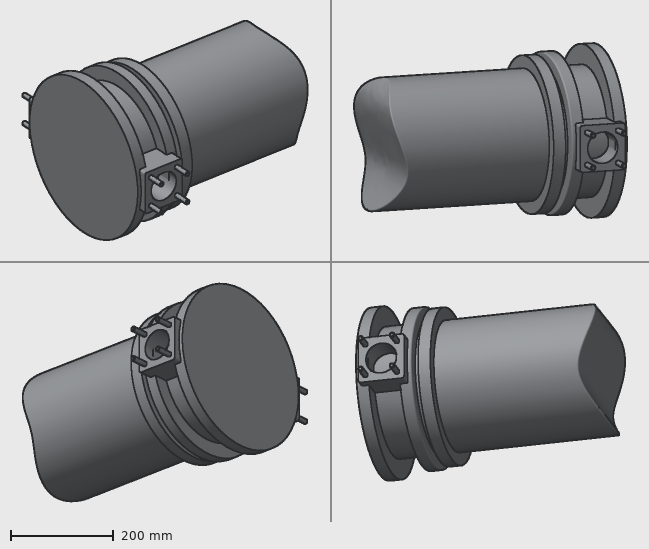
import cadquery as cq


tube_radius = 130.0
cover_radius = 170.0
collar_radius = 160.0
neck_radius = 133.5
ring_radius = 155.0
flange_thickness = 25.0
collar_start = 85.0
collar_end = collar_start + flange_thickness
ring_start = 121.8
ring_end = ring_start + flange_thickness
collar_fillet = 3.5

wave_top_z, wave_top = 143.2, 413.0
wave_crest_z, wave_crest = 72.5, 464.5
wave_middle_z, wave_middle = 2.5, 447.5
wave_valley_z, wave_valley = -47.5, 438.0
wave_flare_z, wave_flare = -89.5, 452.5
wave_tip_z, wave_tip = -143.2, 491.5
rim_fillet = 3.0

port_span = 364.0
port_size = 92.5
port_corner_radius = 5.0
port_bore_diameter = 62.0
port_y = (flange_thickness + collar_start) / 2

stud_diameter = 10.0
stud_pitch = 64.0
stud_chamfer = 1.5
stud_tip_span = 435.0
stud_length = (stud_tip_span - port_span) / 2


def disc(radius, start, end):
    """Solid disc about the Y axis between two Y stations."""
    return (
        cq.Workplane("YZ")
        .moveTo(start, 0)
        .lineTo(start, radius)
        .lineTo(end, radius)
        .lineTo(end, 0)
        .close()
        .revolve(360, (0, 0, 0), (1, 0, 0))
    )


def make_tube():
    """Tube along Y whose rear end is a wave swept along X, with a rounded rim."""
    wave_points = [
        (wave_crest, wave_crest_z),
        (wave_middle, wave_middle_z),
        (wave_valley, wave_valley_z),
        (wave_flare, wave_flare_z),
        (wave_tip, wave_tip_z),
    ]
    wave_prism = (
        cq.Workplane("YZ", origin=(-cover_radius, 0, 0))
        .moveTo(0, wave_tip_z)
        .lineTo(0, wave_top_z)
        .lineTo(wave_top, wave_top_z)
        .spline(wave_points, includeCurrent=True)
        .close()
        .extrude(2 * cover_radius)
    )
    tube = disc(tube_radius, 0, wave_tip).intersect(wave_prism)
    return tube.edges("not (|Y or <Y)").fillet(rim_fillet)


def make_ports():
    """Square block through the housing, bored from both sides."""
    block = (
        cq.Workplane("YZ")
        .center(port_y, 0)
        .rect(port_size, port_size)
        .extrude(port_span / 2, both=True)
        .edges("|X")
        .fillet(port_corner_radius)
    )
    bore = (
        cq.Workplane("YZ")
        .center(port_y, 0)
        .circle(port_bore_diameter / 2)
        .extrude(port_span / 2, both=True)
    )
    return block.cut(bore)


def make_housing():
    """Tube, flanges and ports as one body; the tube wall closes the port bores."""
    collar = disc(collar_radius, collar_start, collar_end).faces(">Y").edges().fillet(collar_fillet)
    return (
        make_tube()
        .union(disc(cover_radius, 0, flange_thickness))
        .union(collar)
        .union(disc(neck_radius, collar_end, ring_start))
        .union(disc(ring_radius, ring_start, ring_end))
        .union(make_ports())
    )


def make_stud(side, y, z):
    """Stud standing on a port face; side is +1 or -1 along X."""
    return (
        cq.Workplane("YZ", origin=(side * port_span / 2, y, z))
        .circle(stud_diameter / 2)
        .extrude(side * stud_length)
        .faces(">X" if side > 0 else "<X")
        .chamfer(stud_chamfer)
    )


housing = make_housing()

studs = []
for side in (-1, 1):
    for y_offset in (-stud_pitch / 2, stud_pitch / 2):
        for z in (-stud_pitch / 2, stud_pitch / 2):
            studs.append(make_stud(side, port_y + y_offset, z))

result = cq.Compound.makeCompound([housing.val(), *[stud.val() for stud in studs]])